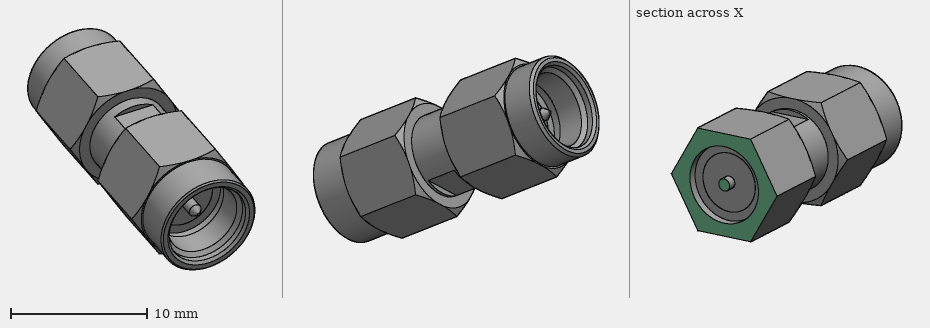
import cadquery as cq
import math

length = 21.3
half_length = length / 2

hex_across_flats = 8.0
hex_across_corners = hex_across_flats / math.cos(math.radians(30))
hex_length = 6.05
hex_face_radius = 4.03
hex_chamfer_length = 0.36
sleeve_radius = 3.9
left_sleeve_length = 2.58
left_sleeve_chamfer = 0.21
right_sleeve_length = 2.98
right_sleeve_chamfer = 0.13

mouth_radius = 3.39
relief_radius = 3.17
bore_radius = 2.85
mouth_chamfer = mouth_radius - relief_radius
relief_end = 0.68
bore_start = relief_end + relief_radius - bore_radius
socket_depth = 3.73
undercut_start = 3.07
undercut_radius = 2.96
insulator_radius = 2.28
insulator_recess = 0.02

pin_radius = 0.5
pin_tip_radius = 0.1
pin_cone_length = 0.55
pin_tip_depth = 1.58

waist_radius = 3.17
flat_length = 2.5
flat_center = 0.13
flat_height = 2.75


def revolve_about_x(points):
    """Solid of revolution from an (x, radius) outline."""
    return cq.Workplane("XY").polyline(points).close().revolve(360, (0, 0, 0), (1, 0, 0))


def make_end(sleeve_length, sleeve_chamfer):
    """Nut with its socket and contact; the open rim lies at x = 0 and the nut extends toward +X."""
    hex_end = sleeve_length + hex_length
    corner_radius = hex_across_corners / 2
    hex_body = (
        cq.Workplane("YZ", origin=(sleeve_length, 0, 0))
        .polygon(6, hex_across_corners)
        .extrude(hex_length)
    )
    corner_chamfers = revolve_about_x([
        (sleeve_length, 0),
        (sleeve_length, hex_face_radius),
        (sleeve_length + hex_chamfer_length, corner_radius),
        (hex_end - hex_chamfer_length, corner_radius),
        (hex_end, hex_face_radius),
        (hex_end, 0),
    ])
    sleeve = revolve_about_x([
        (0, 0),
        (0, sleeve_radius - sleeve_chamfer),
        (sleeve_chamfer, sleeve_radius),
        (sleeve_length, sleeve_radius),
        (sleeve_length, 0),
    ])
    insulator_depth = socket_depth + insulator_recess
    socket = revolve_about_x([
        (0, 0),
        (0, mouth_radius),
        (mouth_chamfer, relief_radius),
        (relief_end, relief_radius),
        (bore_start, bore_radius),
        (undercut_start, bore_radius),
        (undercut_start, undercut_radius),
        (socket_depth, undercut_radius),
        (socket_depth, insulator_radius),
        (insulator_depth, insulator_radius),
        (insulator_depth, 0),
    ])
    pin = revolve_about_x([
        (pin_tip_depth, 0),
        (pin_tip_depth, pin_tip_radius),
        (pin_tip_depth + pin_cone_length, pin_radius),
        (insulator_depth, pin_radius),
        (insulator_depth, 0),
    ])
    return hex_body.intersect(corner_chamfers).union(sleeve).cut(socket).union(pin)


def make_waist(start, end):
    """Round waist between the nuts with two opposite wrench flats."""
    waist = cq.Workplane("YZ", origin=(start, 0, 0)).circle(waist_radius).extrude(end - start)
    cutter_height = waist_radius - flat_height
    for side in (1, -1):
        cutter = cq.Workplane("XY").box(flat_length, 2 * waist_radius, cutter_height)
        waist = waist.cut(cutter.translate((flat_center, 0, side * (flat_height + cutter_height / 2))))
    return waist


left_end = make_end(left_sleeve_length, left_sleeve_chamfer).translate((-half_length, 0, 0))
right_end = (
    make_end(right_sleeve_length, right_sleeve_chamfer)
    .rotate((0, 0, 0), (0, 0, 1), 180)
    .translate((half_length, 0, 0))
)
waist = make_waist(
    left_sleeve_length + hex_length - half_length,
    half_length - right_sleeve_length - hex_length,
)

result = left_end.union(waist).union(right_end)